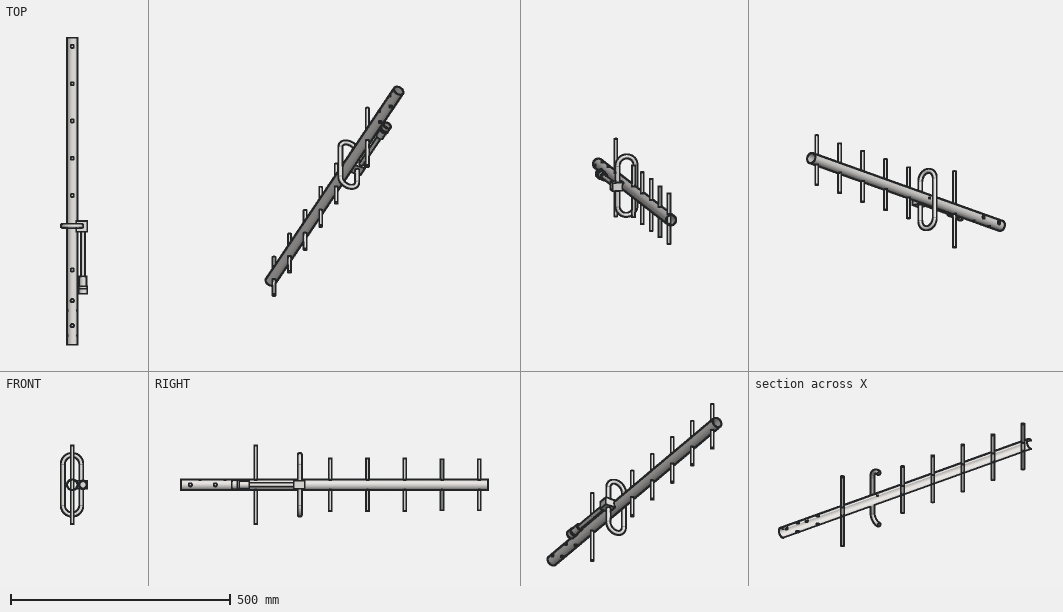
import cadquery as cq


boom_length = 701.0
boom_diameter = 25.0
boom_wall = 1.2
bore_diameter = boom_diameter - 2 * boom_wall
front_end_y = boom_length / 2

rod_diameter = 7.5
director_pitch = 85.0
first_director_station = 20.0
director_lengths = [117.0, 117.0, 120.0, 120.0, 120.0]
reflector_station = 530.0
reflector_length = 180.0

mount_hole_diameter = 7.0
first_mount_hole_station = 600.0
mount_hole_count = 2
mount_hole_pitch = 57.0
cross_hole_offset = 22.5

loop_station = 429.5
loop_tube_diameter = 10.0
loop_width = 52.0
loop_height = 146.0
loop_left_x = -26.52
loop_center_x = loop_left_x + loop_width / 2

block_right_x = 34.4
block_width = 25.4
block_length = 25.0
block_height = 19.0
block_station = loop_station + 1.0

pin_hole_diameter = 3.0
pin_hole_station = loop_station - 7.0

lead_diameter = 10.0
lead_length = 101.5
sleeve_diameter = 17.0
sleeve_length = 23.0
nut_diameter = 20.0
nut_length = 17.0
socket_diameter = 16.0
socket_depth = 12.0
lead_x = block_right_x - nut_diameter / 2


def station_y(station):
    """Y coordinate of a distance measured back from the director end."""
    return front_end_y - station


def cylinder_along_y(diameter, start_y, length, x=0.0):
    """Solid cylinder from start_y, extending toward -Y."""
    return cq.Workplane("XZ", origin=(x, start_y, 0)).circle(diameter / 2).extrude(length)


def vertical_rod(station, diameter, length):
    """Cylinder along Z, centred on the boom axis."""
    plane = cq.Workplane("XY", origin=(0, station_y(station), 0))
    return plane.circle(diameter / 2).extrude(length / 2, both=True)


def boom():
    tube = cylinder_along_y(boom_diameter, front_end_y, boom_length)
    tube = tube.cut(boom_bore())
    for index in range(mount_hole_count):
        station = first_mount_hole_station + index * mount_hole_pitch
        tube = tube.cut(vertical_rod(station, mount_hole_diameter, 2 * boom_diameter))
        tube = tube.cut(cross_drill(station + cross_hole_offset, mount_hole_diameter, both=True))
    return tube.cut(cross_drill(pin_hole_station, pin_hole_diameter, both=False))


def cross_drill(station, diameter, both):
    """Cutter along X that pierces the -X wall of the boom, or both of its walls."""
    plane = cq.Workplane("YZ", origin=(0, station_y(station), 0))
    return plane.circle(diameter / 2).extrude(-boom_diameter, both=both)


def boom_bore():
    return cylinder_along_y(bore_diameter, front_end_y, boom_length)


def dipole_loop():
    """Round tube swept along a vertical racetrack."""
    bend_radius = (loop_width - loop_tube_diameter) / 2
    bend_z = (loop_height - loop_width) / 2
    left_x = -bend_radius
    right_x = bend_radius
    top_z = bend_z + bend_radius
    plane = cq.Workplane("XZ", origin=(loop_center_x, station_y(loop_station), 0))
    path = (
        plane.moveTo(left_x, 0)
        .lineTo(left_x, bend_z)
        .threePointArc((0, top_z), (right_x, bend_z))
        .lineTo(right_x, -bend_z)
        .threePointArc((0, -top_z), (left_x, -bend_z))
        .close()
    )
    section = cq.Workplane("XY", origin=(loop_center_x + left_x, station_y(loop_station), 0))
    return section.circle(loop_tube_diameter / 2).sweep(path)


def feed_block():
    """Rectangular block whose inner side is saddled onto the boom."""
    center = (block_right_x - block_width / 2, station_y(block_station), 0)
    block = cq.Workplane("XY").box(block_width, block_length, block_height).translate(center)
    return block.cut(boom_bore())


def coaxial_lead():
    """Cable, sleeve and open-ended coupling nut in line behind the feed block."""
    lead_start = station_y(block_station) - block_length / 2
    sleeve_start = lead_start - lead_length
    nut_start = sleeve_start - sleeve_length
    nut_end = nut_start - nut_length
    lead = cylinder_along_y(lead_diameter, lead_start, lead_length, lead_x)
    lead = lead.union(cylinder_along_y(sleeve_diameter, sleeve_start, sleeve_length, lead_x))
    lead = lead.union(cylinder_along_y(nut_diameter, nut_start, nut_length, lead_x))
    return lead.cut(cylinder_along_y(socket_diameter, nut_end + socket_depth, socket_depth, lead_x))


result = boom().union(dipole_loop()).union(feed_block()).union(coaxial_lead())
for index, length in enumerate(director_lengths):
    director_station = first_director_station + index * director_pitch
    result = result.union(vertical_rod(director_station, rod_diameter, length))
result = result.union(vertical_rod(reflector_station, rod_diameter, reflector_length))